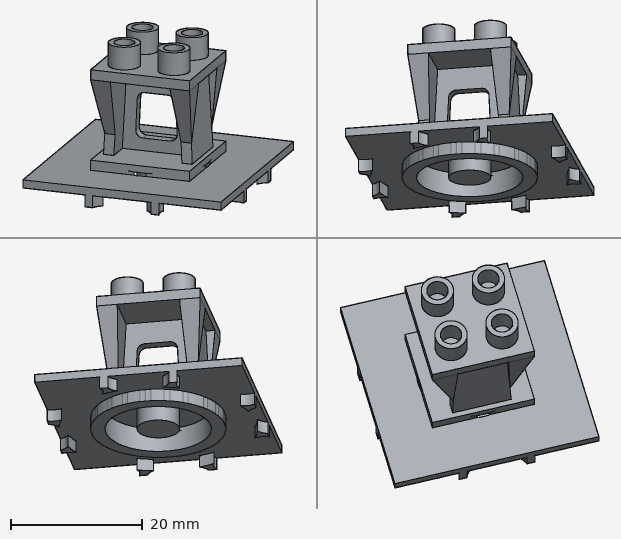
import cadquery as cq
import math

RIB_HEIGHT = 1.9
BASE_TOP = 3.2
PLATE_THICKNESS = 1.6
TOWER_HEIGHT = 12.8
STUD_HEIGHT = 3.6
TOWER_BOTTOM = BASE_TOP + PLATE_THICKNESS
TOWER_TOP = TOWER_BOTTOM + TOWER_HEIGHT
DECK_TOP = TOWER_TOP + PLATE_THICKNESS

STUD_PITCH = 8.0
BASE_SIDE = 4 * STUD_PITCH
PLATE_SIDE = 2 * STUD_PITCH
STUD_DIAMETER = 4.9
STUD_HOLE_DIAMETER = 3.2

POST_DIAMETER = 6.4
SOCKET_RECESS = 0.5
SOCKET_CEILING = BASE_TOP + SOCKET_RECESS
SWEEP_RADIUS = 2.4
CLEARANCE_RADIUS = STUD_DIAMETER / 2
INNER_STUD_ORBIT = math.hypot(STUD_PITCH / 2, STUD_PITCH / 2)
MIDDLE_STUD_ORBIT = math.hypot(STUD_PITCH / 2, 1.5 * STUD_PITCH)
CORNER_STUD_ORBIT = 3 * INNER_STUD_ORBIT
DIAGONAL_ANGLE = 45
MIDDLE_STUD_ANGLE = math.degrees(math.atan2(1, 3))
LARGE_TURN = math.degrees(math.atan2(3, 4))
SMALL_TURN = 90 - 2 * LARGE_TURN
TURNS = (0, SMALL_TURN, -SMALL_TURN, LARGE_TURN, -LARGE_TURN)
QUARTER_TURNS = (0, 90, 180, 270)
SOCKET_RADIUS = INNER_STUD_ORBIT + SWEEP_RADIUS
RING_RADIUS = MIDDLE_STUD_ORBIT - SWEEP_RADIUS
NUB_INNER_RADIUS = MIDDLE_STUD_ORBIT + SWEEP_RADIUS

LEG_OUTER_BOTTOM = 7.15
LEG_OUTER_TOP = 6.6
LEG_INNER_BOTTOM = 5.5
LEG_INNER_TOP = 4.8
LEG_HALF_WIDTH_BOTTOM = 4.6
LEG_HALF_WIDTH_TOP = STUD_PITCH / 2
WING_RISE = 3.3
WING_BOTTOM = TOWER_BOTTOM + WING_RISE
WEB_THICKNESS = 1.6
WINDOW_BOTTOM = 6.8
WINDOW_TOP = 14.05
WINDOW_HALF_WIDTH_BOTTOM = 3.4
WINDOW_HALF_WIDTH_TOP = 3.05
WINDOW_CORNER_RADIUS = 1.2


def cylinder(radius, bottom, top):
    return cq.Workplane("XY").workplane(offset=bottom).circle(radius).extrude(top - bottom)


def square_plate(side, bottom, top):
    return cq.Workplane("XY").workplane(offset=bottom).rect(side, side).extrude(top - bottom)


def trapezoid(plane, half_bottom, half_top, bottom, top, depth):
    """Symmetric upright trapezoid, extruded by half of depth to each side of the plane."""
    points = [(-half_bottom, bottom), (half_bottom, bottom), (half_top, top), (-half_top, top)]
    return cq.Workplane(plane).polyline(points).close().extrude(depth / 2, both=True)


def stud_clearances(orbit, grid_angles):
    """Stud-sized cylinders of one orbit, for every turn of the stud grid."""
    angles = [
        math.radians(quarter + grid_angle + turn)
        for quarter in QUARTER_TURNS
        for grid_angle in grid_angles
        for turn in TURNS
    ]
    spots = {(round(orbit * math.cos(a), 6), round(orbit * math.sin(a), 6)) for a in angles}
    cutter = None
    for x, y in sorted(spots):
        stud = cylinder(CLEARANCE_RADIUS, 0, RIB_HEIGHT).translate((x, y, 0))
        cutter = stud if cutter is None else cutter.union(stud)
    return cutter


def edge_nubs():
    """Ribs at the base edges, each between two neighbouring stud clearances of the corner orbit."""
    start = math.radians(DIAGONAL_ANGLE - LARGE_TURN)
    end = math.radians(DIAGONAL_ANGLE - SMALL_TURN)
    half = BASE_SIDE / 2
    sector = (
        cq.Workplane("XY")
        .polyline([(0, 0), (half, half * math.tan(start)), (half, half * math.tan(end))])
        .close()
        .extrude(RIB_HEIGHT)
        .cut(cylinder(NUB_INNER_RADIUS, 0, RIB_HEIGHT))
    )
    pair = sector.union(sector.mirror("XZ"))
    nubs = pair
    for quarter in QUARTER_TURNS[1:]:
        nubs = nubs.union(pair.rotate((0, 0, 0), (0, 0, 1), quarter))
    return nubs.cut(stud_clearances(CORNER_STUD_ORBIT, [DIAGONAL_ANGLE]))


def base():
    """Base plate and middle plate, with the ring, nubs, socket and centre post underneath."""
    ring = cylinder(RING_RADIUS, 0, RIB_HEIGHT).cut(
        stud_clearances(MIDDLE_STUD_ORBIT, [MIDDLE_STUD_ANGLE, -MIDDLE_STUD_ANGLE])
    )
    return (
        square_plate(BASE_SIDE, RIB_HEIGHT, BASE_TOP)
        .union(square_plate(PLATE_SIDE, BASE_TOP, TOWER_BOTTOM))
        .union(ring)
        .union(edge_nubs())
        .cut(cylinder(SOCKET_RADIUS, 0, SOCKET_CEILING))
        .union(cylinder(POST_DIAMETER / 2, 0, SOCKET_CEILING))
    )


def taper(at_bottom, at_top, height):
    """Value at a height of a dimension that changes evenly from the tower's bottom to its top."""
    return at_bottom + (at_top - at_bottom) * (height - TOWER_BOTTOM) / TOWER_HEIGHT


def wing():
    """Wedge on the +Y side of the +X leg, spreading up to the corner of the deck.

    Its outer face leans outward and stands proud of the leg.
    """
    corner = PLATE_SIDE / 2
    low_y = taper(LEG_HALF_WIDTH_BOTTOM, LEG_HALF_WIDTH_TOP, WING_BOTTOM)
    low_outer_x = taper(LEG_OUTER_BOTTOM, LEG_OUTER_TOP, WING_BOTTOM)
    low_inner_x = taper(LEG_INNER_BOTTOM, LEG_INNER_TOP, WING_BOTTOM)
    low_outer = (low_outer_x, low_y, WING_BOTTOM)
    low_inner = (low_inner_x, low_y, WING_BOTTOM)
    root_outer = (corner, LEG_HALF_WIDTH_TOP, TOWER_TOP)
    root_inner = (LEG_INNER_TOP, LEG_HALF_WIDTH_TOP, TOWER_TOP)
    tip_outer = (corner, corner, TOWER_TOP)
    tip_inner = (LEG_INNER_TOP, corner, TOWER_TOP)
    outlines = [
        [root_outer, tip_outer, tip_inner, root_inner],
        [tip_outer, tip_inner, low_inner, low_outer],
        [root_outer, root_inner, low_inner, low_outer],
        [root_outer, tip_outer, low_outer],
        [root_inner, tip_inner, low_inner],
    ]
    faces = [
        cq.Face.makeFromWires(cq.Wire.makePolygon([cq.Vector(*p) for p in outline], close=True))
        for outline in outlines
    ]
    return cq.Workplane(cq.Solid.makeSolid(cq.Shell.makeShell(faces)))


def tower():
    """Both legs, the web between them and the four wings."""
    outer = trapezoid("XZ", LEG_OUTER_BOTTOM, LEG_OUTER_TOP, TOWER_BOTTOM, TOWER_TOP, PLATE_SIDE)
    inner = trapezoid("XZ", LEG_INNER_BOTTOM, LEG_INNER_TOP, TOWER_BOTTOM, TOWER_TOP, PLATE_SIDE)
    sides = trapezoid(
        "YZ", LEG_HALF_WIDTH_BOTTOM, LEG_HALF_WIDTH_TOP, TOWER_BOTTOM, TOWER_TOP, PLATE_SIDE
    )
    web = trapezoid("XZ", LEG_INNER_BOTTOM, LEG_INNER_TOP, TOWER_BOTTOM, TOWER_TOP, WEB_THICKNESS)
    window = trapezoid(
        "XZ", WINDOW_HALF_WIDTH_BOTTOM, WINDOW_HALF_WIDTH_TOP, WINDOW_BOTTOM, WINDOW_TOP, PLATE_SIDE
    )
    window = window.edges("|Y").fillet(WINDOW_CORNER_RADIUS)
    body = outer.cut(inner).intersect(sides).union(web.cut(window))
    right_wing = wing()
    for piece in (right_wing, right_wing.mirror("XZ")):
        body = body.union(piece).union(piece.mirror("YZ"))
    return body


def deck():
    """Top plate with four hollow studs."""
    return (
        square_plate(PLATE_SIDE, TOWER_TOP, DECK_TOP)
        .faces(">Z")
        .workplane()
        .rarray(STUD_PITCH, STUD_PITCH, 2, 2)
        .circle(STUD_DIAMETER / 2)
        .circle(STUD_HOLE_DIAMETER / 2)
        .extrude(STUD_HEIGHT)
    )


result = base().union(tower()).union(deck())